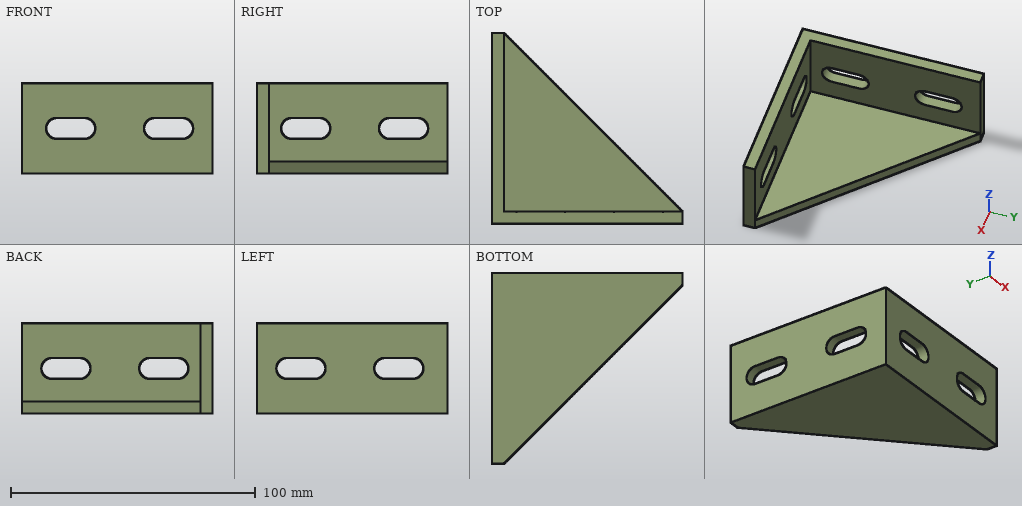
import cadquery as cq

leg_length = 78.0
height = 37.0
wall = 5.0
floor_thickness = 5.0

slot_length = 20.0
slot_width = 8.4
first_slot_start = 10.0
slot_pitch = 40.0
slot_count = 2
slot_centers = [
    (first_slot_start + slot_length / 2 + i * slot_pitch, height / 2)
    for i in range(slot_count)
]


def slot_cutters(plane):
    """Slots through one wall, cut along the plane's normal."""
    return (
        cq.Workplane(plane)
        .pushPoints(slot_centers)
        .slot2D(slot_length, slot_width)
        .extrude(wall)
    )


front_wall = cq.Workplane("XY").box(leg_length, wall, height, centered=False)
side_wall = cq.Workplane("XY").box(wall, leg_length, height, centered=False)

floor = (
    cq.Workplane("XY")
    .moveTo(wall, wall)
    .lineTo(leg_length, wall)
    .lineTo(wall, leg_length)
    .close()
    .extrude(floor_thickness)
)

front_plane = cq.Plane(origin=(0, wall, 0), xDir=(1, 0, 0), normal=(0, -1, 0))
side_plane = cq.Plane(origin=(0, 0, 0), xDir=(0, 1, 0), normal=(1, 0, 0))

result = front_wall.union(side_wall).union(floor)
for wall_plane in (front_plane, side_plane):
    result = result.cut(slot_cutters(wall_plane))